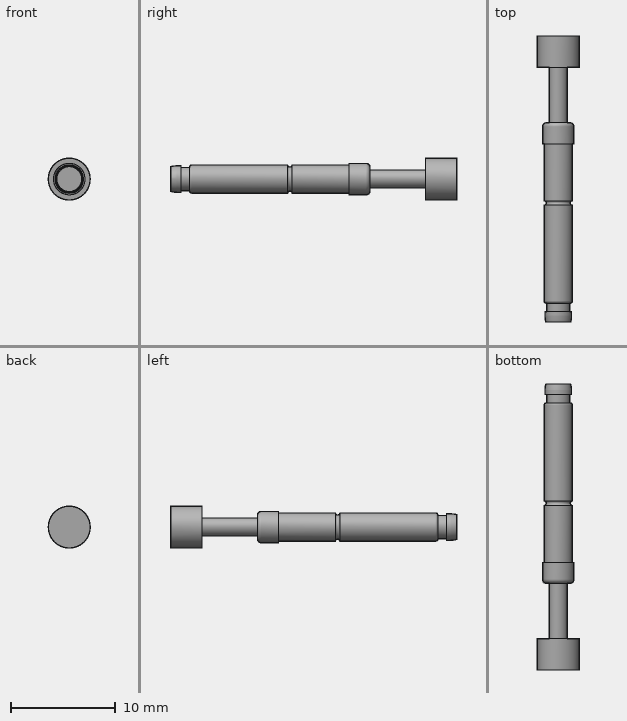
import cadquery as cq

length = 27.3

head_radius = 4.0 / 2
plunger_radius = 1.75 / 2
collar_radius = 3.0 / 2
body_radius = 2.7 / 2
neck_radius = 2.25 / 2
tip_radius = 2.57 / 2
tip_face_radius = 2.38 / 2

head_end = 3.0
collar_start = 8.27
collar_end = 10.3
groove_start = 15.72
groove_end = 16.13
neck_start = 25.5
neck_end = 26.3
tip_round_start = 26.7

collar_round = 0.38
groove_round = 0.2
body_round = 0.22


def y_at(station):
    return length / 2 - station


profile = (
    cq.Workplane("XY")
    .moveTo(0, y_at(0))
    .lineTo(head_radius, y_at(0))
    .lineTo(head_radius, y_at(head_end))
    .lineTo(plunger_radius, y_at(head_end))
    .lineTo(plunger_radius, y_at(collar_start))
    .lineTo(collar_radius - collar_round, y_at(collar_start))
    .radiusArc((collar_radius, y_at(collar_start + collar_round)), collar_round)
    .lineTo(collar_radius, y_at(collar_end))
    .lineTo(body_radius, y_at(collar_end))
    .lineTo(body_radius, y_at(groove_start))
    .radiusArc((body_radius - groove_round, y_at(groove_start + groove_round)), -groove_round)
    .lineTo(body_radius - groove_round, y_at(groove_end - groove_round))
    .radiusArc((body_radius, y_at(groove_end)), -groove_round)
    .lineTo(body_radius, y_at(neck_start - body_round))
    .radiusArc((body_radius - body_round, y_at(neck_start)), body_round)
    .lineTo(neck_radius, y_at(neck_start))
    .lineTo(neck_radius, y_at(neck_end))
    .lineTo(tip_radius, y_at(neck_end))
    .lineTo(tip_radius, y_at(tip_round_start))
    .tangentArcPoint((tip_face_radius, y_at(length)), relative=False)
    .lineTo(0, y_at(length))
    .close()
)

result = profile.revolve(360, (0, 0, 0), (0, 1, 0))